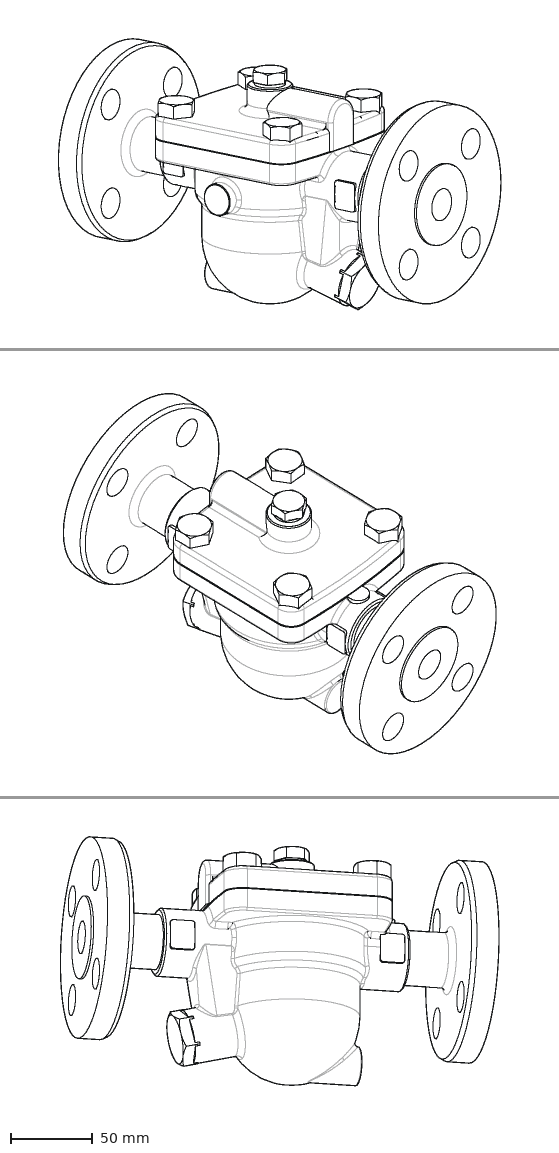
import cadquery as cq
import math

OVERLAP = 3.0
SEAM_TOLERANCE = 0.01

END_X = 125.0
RAISED_FACE_D = 51.0
RAISED_FACE_H = 1.5
FLANGE_D = 124.0
FLANGE_T = 17.0
FLANGE_CHAMFER_L = 3.0
FLANGE_CHAMFER_R = 1.5
BOLT_HOLE_D = 19.0
BOLT_CIRCLE_D = 88.9
BORE_D = 20.0
PIPE_D = 34.0
PIPE_FILLET = 4.0
HUB_FILLET = 3.0
HUB_D = 42.0
HUB_X = 77.5
HUB_CORE_X = 70.0
HUB_CHAMFER = 1.2
HUB_PAD_X = 66.2
HUB_PAD_L = 15.4
HUB_PAD_H = 18.2
HUB_PAD_CORNER_R = 1.8

BODY_X = -7.5
SHELL_R = 46.0
SHELL_TOP_FILLET = 3.0
SHELL_RIM_Z = -13.0
NECK_Z = -22.0
DOME_R = 42.0
DOME_Z = -42.2
NECK_MID_R = (SHELL_R + DOME_R) / 2
NECK_MID_Z = -18.0

COVER_BOTTOM_Z = 9.0
SPLIT_Z = 22.8
COVER_TOP_Z = 37.5
COVER_HALF_X = 55.2
COVER_HALF_Y = 54.2
COVER_CORNER_R = 12.0
CORNER_X = 41.0
COVER_EDGE_R = 2.5
BODY_FLANGE_EDGE_R = 1.5
SPLIT_GROOVE = 0.4

BOLT_OFFSET = 41.0
BOLT_AF = 21.0
BOLT_H = 8.7

TOP_BOSS_D = 28.0
TOP_BOSS_Z = 54.4
TOP_BOSS_FILLET = 5.0
TOP_BOSS_EDGE = 0.8
TOP_PLUG_NECK_D = 19.0
TOP_PLUG_NECK_H = 2.0
TOP_PLUG_AF = 19.5
TOP_PLUG_Z = 63.7
RIB_R = 12.2
RIB_TOP_Z = 53.8
RIB_END_X = 49.0
RIB_FILLET = 3.2
RIB_EDGE_R = 2.5

LUG_R = 6.8
LUG_X = -65.6

SIDE_BOSS_D = 20.0
SIDE_BOSS_Z = -7.6
SIDE_BOSS_Y = -53.8
SIDE_BOSS_EDGE = 0.5
SIDE_BOSS_FILLET = 2.8

DRAIN_D = 24.0
DRAIN_Z = -70.9
DRAIN_X = -49.2
DRAIN_EDGE_R = 0.8
DRAIN_FILLET = 2.0

STRAINER_TILT = 14.0
STRAINER_D = 34.0
STRAINER_END_X = 58.9
STRAINER_END_Z = -59.4
STRAINER_L = 60.0
STRAINER_PLUG_AF = 30.5
STRAINER_PLUG_H = 7.4
STRAINER_FILLET = 4.5

DUCT_TOP_Z = -4.8
DUCT_TOP_X = 57.2
DUCT_TOP_HALF_W = 20.4
DUCT_TOP_CORNER_R = 5.7
DUCT_BOTTOM_Z = -52.0
DUCT_BOTTOM_X = 51.6
DUCT_BOTTOM_HALF_W = 15.5
DUCT_BOTTOM_CORNER_R = 8.8
DUCT_INNER_X = 15.0
DUCT_FILLET = 2.0


def make_hex_head(across_flats, height, corner_angle):
    """Hexagon head standing on Z=0, top corners turned off at 30 degrees."""
    across_corners = across_flats / math.cos(math.radians(30))
    head = cq.Workplane("XY").polygon(6, across_corners).extrude(height)
    head = head.rotate((0, 0, 0), (0, 0, 1), corner_angle)
    drop = (across_corners - across_flats) / 2 * math.tan(math.radians(30))
    turned = (
        cq.Workplane("XY")
        .circle(across_corners / 2)
        .extrude(height)
        .faces(">Z")
        .chamfer(drop, (across_corners - across_flats) / 2)
    )
    return head.intersect(turned)


def make_line_end():
    """Flange, pipe and hub on the +X side."""
    face_x = END_X - RAISED_FACE_H
    back_x = face_x - FLANGE_T
    pipe_r = PIPE_D / 2
    hub_r = HUB_D / 2
    flange_r = FLANGE_D / 2
    arc_in = PIPE_FILLET * (1 - math.cos(math.radians(45)))
    end = (
        cq.Workplane("XY")
        .moveTo(0, 0)
        .lineTo(0, hub_r)
        .lineTo(HUB_X - HUB_CHAMFER, hub_r)
        .lineTo(HUB_X, hub_r - HUB_CHAMFER)
        .lineTo(HUB_X, pipe_r)
        .lineTo(back_x - PIPE_FILLET, pipe_r)
        .threePointArc((back_x - arc_in, pipe_r + arc_in), (back_x, pipe_r + PIPE_FILLET))
        .lineTo(back_x, flange_r - FLANGE_CHAMFER_R)
        .lineTo(back_x + FLANGE_CHAMFER_L, flange_r)
        .lineTo(face_x, flange_r)
        .lineTo(face_x, RAISED_FACE_D / 2)
        .lineTo(END_X, RAISED_FACE_D / 2)
        .lineTo(END_X, 0)
        .close()
        .revolve(360, (0, 0, 0), (1, 0, 0))
    )
    holes = (
        cq.Workplane("YZ", origin=(back_x - OVERLAP, 0, 0))
        .polarArray(BOLT_CIRCLE_D / 2, 45, 360, 4)
        .circle(BOLT_HOLE_D / 2)
        .extrude(FLANGE_T + 2 * OVERLAP)
    )
    pads = (
        cq.Workplane("XY")
        .box(HUB_PAD_L, HUB_D, HUB_PAD_H)
        .edges("|Y")
        .fillet(HUB_PAD_CORNER_R)
        .translate((HUB_PAD_X, 0, 0))
    )
    return end.cut(holes).union(pads)


def make_hub_core():
    """Plain bar through the body that both hubs continue."""
    return cq.Workplane("YZ", origin=(-HUB_CORE_X, 0, 0)).circle(HUB_D / 2).extrude(2 * HUB_CORE_X)


def make_bores():
    """Blind pipe bores that stop at the hub faces."""
    bore = cq.Workplane("YZ", origin=(HUB_X, 0, 0)).circle(BORE_D / 2).extrude(END_X - HUB_X)
    return bore.union(bore.mirror("YZ"))


def make_shell():
    """Round shell that necks down to a hemispherical bottom."""
    fillet_r = SHELL_R + SHELL_TOP_FILLET
    arc_in = SHELL_TOP_FILLET * (1 - math.cos(math.radians(45)))
    fillet_middle = (SHELL_R + arc_in, COVER_BOTTOM_Z - arc_in)
    return (
        cq.Workplane("XZ")
        .moveTo(0, COVER_BOTTOM_Z + OVERLAP)
        .lineTo(fillet_r, COVER_BOTTOM_Z + OVERLAP)
        .lineTo(fillet_r, COVER_BOTTOM_Z)
        .threePointArc(fillet_middle, (SHELL_R, COVER_BOTTOM_Z - SHELL_TOP_FILLET))
        .lineTo(SHELL_R, SHELL_RIM_Z)
        .tangentArcPoint((NECK_MID_R, NECK_MID_Z), relative=False)
        .tangentArcPoint((DOME_R, NECK_Z), relative=False)
        .lineTo(DOME_R, DOME_Z)
        .radiusArc((0, DOME_Z - DOME_R), DOME_R)
        .close()
        .revolve(360, (0, 0, 0), (0, 1, 0))
        .translate((BODY_X, 0, 0))
    )


def cover_outline(bottom_z, inset=0.0):
    """Square with rounded corners and slightly bowed left and right sides."""
    half_x = COVER_HALF_X - inset
    half_y = COVER_HALF_Y - inset
    corner_r = COVER_CORNER_R - inset
    corner_y = half_y - corner_r
    reach = half_x - corner_r
    bow_center = (CORNER_X**2 + corner_y**2 - reach**2) / (2 * (reach - CORNER_X))
    tangent_angle = math.atan2(corner_y, CORNER_X + bow_center)
    mid_angle = (tangent_angle + math.pi / 2) / 2
    tangent_x = CORNER_X + corner_r * math.cos(tangent_angle)
    tangent_y = corner_y + corner_r * math.sin(tangent_angle)
    mid_x = CORNER_X + corner_r * math.cos(mid_angle)
    mid_y = corner_y + corner_r * math.sin(mid_angle)
    return (
        cq.Workplane("XY", origin=(BODY_X, 0, bottom_z))
        .moveTo(-CORNER_X, half_y)
        .lineTo(CORNER_X, half_y)
        .threePointArc((mid_x, mid_y), (tangent_x, tangent_y))
        .threePointArc((half_x, 0), (tangent_x, -tangent_y))
        .threePointArc((mid_x, -mid_y), (CORNER_X, -half_y))
        .lineTo(-CORNER_X, -half_y)
        .threePointArc((-mid_x, -mid_y), (-tangent_x, -tangent_y))
        .threePointArc((-half_x, 0), (-tangent_x, tangent_y))
        .threePointArc((-mid_x, mid_y), (-CORNER_X, half_y))
        .close()
    )


def make_body_flange():
    """Square flange on top of the shell."""
    flange = cover_outline(COVER_BOTTOM_Z).extrude(SPLIT_Z - SPLIT_GROOVE / 2 - COVER_BOTTOM_Z)
    return flange.faces("<Z").edges().fillet(BODY_FLANGE_EDGE_R)


def make_cover():
    """Cover plate, parted from the body flange by a fine groove."""
    lid_z = SPLIT_Z + SPLIT_GROOVE / 2
    lid = cover_outline(lid_z).extrude(COVER_TOP_Z - lid_z).faces(">Z").edges().fillet(COVER_EDGE_R)
    gasket = cover_outline(SPLIT_Z - OVERLAP, SPLIT_GROOVE).extrude(2 * OVERLAP)
    return lid.union(gasket)


def make_bolts():
    """Four hexagon heads on the cover."""
    bolts = cq.Workplane("XY")
    for side_x in (-1, 1):
        for side_y in (-1, 1):
            corner_angle = 0 if side_x == side_y else 30
            place = (BODY_X + side_x * BOLT_OFFSET, side_y * BOLT_OFFSET, COVER_TOP_Z - OVERLAP)
            bolts = bolts.add(make_hex_head(BOLT_AF, BOLT_H + OVERLAP, corner_angle).translate(place))
    return bolts.combine()


def make_top_boss():
    """Round boss on the cover with a wide foot fillet."""
    boss_r = TOP_BOSS_D / 2
    arc_in = TOP_BOSS_FILLET * (1 - math.cos(math.radians(45)))
    return (
        cq.Workplane("XZ")
        .moveTo(0, COVER_TOP_Z - OVERLAP)
        .lineTo(boss_r + TOP_BOSS_FILLET, COVER_TOP_Z - OVERLAP)
        .lineTo(boss_r + TOP_BOSS_FILLET, COVER_TOP_Z)
        .threePointArc((boss_r + arc_in, COVER_TOP_Z + arc_in), (boss_r, COVER_TOP_Z + TOP_BOSS_FILLET))
        .lineTo(boss_r, TOP_BOSS_Z - TOP_BOSS_EDGE)
        .lineTo(boss_r - TOP_BOSS_EDGE, TOP_BOSS_Z)
        .lineTo(0, TOP_BOSS_Z)
        .close()
        .revolve(360, (0, 0, 0), (0, 1, 0))
        .translate((BODY_X, 0, 0))
    )


def make_top_plug():
    """Hexagon plug on a round neck."""
    neck = (
        cq.Workplane("XY", origin=(BODY_X, 0, TOP_BOSS_Z - OVERLAP))
        .circle(TOP_PLUG_NECK_D / 2)
        .extrude(TOP_PLUG_NECK_H + OVERLAP)
    )
    head_z = TOP_BOSS_Z + TOP_PLUG_NECK_H
    head = make_hex_head(TOP_PLUG_AF, TOP_PLUG_Z - head_z, 0)
    return neck.union(head.translate((BODY_X, 0, head_z)))


def make_rib():
    """Round-topped rib from the top boss, running down the cover side."""
    axis_z = RIB_TOP_Z - RIB_R
    rib = (
        cq.Workplane("YZ", origin=(BODY_X, 0, 0))
        .moveTo(-RIB_R, SPLIT_Z + SPLIT_GROOVE)
        .lineTo(-RIB_R, axis_z)
        .threePointArc((0, RIB_TOP_Z), (RIB_R, axis_z))
        .lineTo(RIB_R, SPLIT_Z + SPLIT_GROOVE)
        .close()
        .extrude(RIB_END_X - BODY_X)
    )
    return rib.faces(">X").edges("not <Z").fillet(RIB_EDGE_R)


def make_rib_feet():
    """Concave fillets along both foot lines of the rib."""
    arc_in = RIB_FILLET * (1 - math.cos(math.radians(45)))
    length = COVER_HALF_X - COVER_EDGE_R
    foot = (
        cq.Workplane("YZ", origin=(BODY_X, 0, 0))
        .moveTo(RIB_R - OVERLAP, COVER_TOP_Z - OVERLAP)
        .lineTo(RIB_R + RIB_FILLET, COVER_TOP_Z - OVERLAP)
        .lineTo(RIB_R + RIB_FILLET, COVER_TOP_Z)
        .threePointArc((RIB_R + arc_in, COVER_TOP_Z + arc_in), (RIB_R, COVER_TOP_Z + RIB_FILLET))
        .lineTo(RIB_R - OVERLAP, COVER_TOP_Z + RIB_FILLET)
        .close()
        .extrude(length)
    )
    return foot.union(foot.mirror("XZ"))


def make_lug():
    """Small round-nosed lug on top of the inlet hub."""
    length = BODY_X - COVER_HALF_X + OVERLAP - LUG_X
    nose = cq.Workplane("XY", origin=(LUG_X, 0, 0)).circle(LUG_R).extrude(SPLIT_Z)
    bar = cq.Workplane("XY").box(length, 2 * LUG_R, SPLIT_Z, centered=(False, True, False))
    return nose.union(bar.translate((LUG_X, 0, 0)))


def make_side_boss():
    """Round boss on the -Y side of the shell."""
    return (
        cq.Workplane("XZ", origin=(BODY_X, 0, SIDE_BOSS_Z))
        .circle(SIDE_BOSS_D / 2)
        .extrude(-SIDE_BOSS_Y)
        .faces("<Y")
        .chamfer(SIDE_BOSS_EDGE)
    )


def make_drain_boss():
    """Round boss low on the -X side of the dome."""
    return (
        cq.Workplane("YZ", origin=(DRAIN_X, 0, DRAIN_Z))
        .circle(DRAIN_D / 2)
        .extrude(BODY_X - DRAIN_X)
        .faces("<X")
        .edges()
        .fillet(DRAIN_EDGE_R)
    )


def make_strainer():
    """Tilted boss with a hexagon plug, pointing away from the body."""
    boss = cq.Workplane("XY").circle(STRAINER_D / 2).extrude(-STRAINER_L)
    plug = make_hex_head(STRAINER_PLUG_AF, STRAINER_PLUG_H + OVERLAP, 0).translate((0, 0, -OVERLAP))
    strainer = boss.union(plug)
    strainer = strainer.rotate((0, 0, 0), (0, 1, 0), 90 + STRAINER_TILT)
    return strainer.translate((STRAINER_END_X, 0, STRAINER_END_Z))


def duct_section(z, end_x, half_width, corner_r):
    """Closed duct section at height z, rounded at its two outer corners."""
    arc_in = corner_r * (1 - math.cos(math.radians(45)))
    return (
        cq.Workplane("XY", origin=(0, 0, z))
        .moveTo(DUCT_INNER_X, -half_width)
        .lineTo(end_x - corner_r, -half_width)
        .threePointArc((end_x - arc_in, -half_width + arc_in), (end_x, -half_width + corner_r))
        .lineTo(end_x, half_width - corner_r)
        .threePointArc((end_x - arc_in, half_width - arc_in), (end_x - corner_r, half_width))
        .lineTo(DUCT_INNER_X, half_width)
        .close()
        .wires()
        .val()
    )


def make_duct():
    """Tapered duct between the strainer boss and the outlet hub."""
    top = duct_section(DUCT_TOP_Z, DUCT_TOP_X, DUCT_TOP_HALF_W, DUCT_TOP_CORNER_R)
    bottom = duct_section(DUCT_BOTTOM_Z, DUCT_BOTTOM_X, DUCT_BOTTOM_HALF_W, DUCT_BOTTOM_CORNER_R)
    return cq.Workplane(cq.Solid.makeLoft([top, bottom], True))


def join_with_fillet(body, piece, radius):
    """Union of body and piece, filleted along the curves where their surfaces meet."""
    joined = body.union(piece)
    skins = [part.solids().val().Shells()[0] for part in (body, piece)]
    seam = []
    for edge in joined.edges().vals():
        middle = cq.Vertex.makeVertex(*edge.positionAt(0.5).toTuple())
        if all(skin.distance(middle) < SEAM_TOLERANCE for skin in skins):
            seam.append(edge)
    return joined.newObject(seam).fillet(radius)


body = join_with_fillet(make_shell(), make_side_boss(), SIDE_BOSS_FILLET)
body = join_with_fillet(body, make_drain_boss(), DRAIN_FILLET)
body = join_with_fillet(body, make_strainer(), STRAINER_FILLET)
body = body.union(make_body_flange())
body = join_with_fillet(body, make_hub_core(), HUB_FILLET)
body = join_with_fillet(body, make_duct(), DUCT_FILLET)
line_end = make_line_end()
result = body.union(line_end).union(line_end.mirror("YZ"))
for piece in (
    make_cover(),
    make_bolts(),
    make_top_boss(),
    make_top_plug(),
    make_rib(),
    make_rib_feet(),
    make_lug(),
):
    result = result.union(piece)
result = result.cut(make_bores())